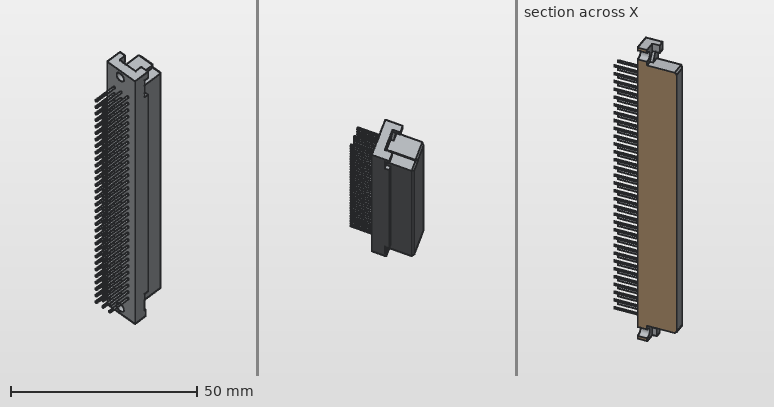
import cadquery as cq
import math


BASE_WIDTH = 10.5
BASE_LENGTH = 94.9
BASE_THICKNESS = 3.7

TOP_BAR_LEVEL = 5.0
BOTTOM_BAR_LEVEL = 4.15
RIB_LEVEL = TOP_BAR_LEVEL
RIB_LENGTH = 76.9

HOLE_DIAMETER = 2.8
HOLE_SPACING = 90.0
HOLE_X = -0.3
SEAT_WIDTH = 6.0
SEAT_LEVEL = 2.8

BLOCK_WIDTH = 8.3
BLOCK_LENGTH = 84.9
BLOCK_FRONT = 11.6
BLOCK_CHAMFER = 0.58
BLOCK_STEP_X = 1.15
BLOCK_STEP_DROP = 1.0

PIN_DIAMETER = 0.6
PIN_LENGTH = 7.0
PIN_PITCH = 2.54
PIN_COLUMNS = 3
PIN_ROWS = 32
PIN_EMBED = 1.0

HALF_WIDTH = BASE_WIDTH / 2
HALF_LENGTH = BASE_LENGTH / 2
HALF_BLOCK_WIDTH = BLOCK_WIDTH / 2
HALF_BLOCK_LENGTH = BLOCK_LENGTH / 2
HALF_SEAT_WIDTH = SEAT_WIDTH / 2
HOLE_Z = HOLE_SPACING / 2


def box(x_range, y_range, z_range):
    """Box between the low and high limits along each axis."""
    size = [high - low for low, high in (x_range, y_range, z_range)]
    corner = (x_range[0], y_range[0], z_range[0])
    return cq.Workplane("XY").box(*size, centered=False).translate(corner)


def extrude_outline(points, y_low, y_high):
    """Prism along Y over an outline of (x, z) points."""
    outline = cq.Workplane("XZ", origin=(0, y_low, 0)).polyline(points).close()
    return outline.extrude(y_low - y_high)


def make_base():
    """Base bar with a raised bar across each end and a rib along each side.

    The end bars start level with the mounting hole centres."""
    across = (-HALF_WIDTH, HALF_WIDTH)
    base = box(across, (0, BASE_THICKNESS), (-HALF_LENGTH, HALF_LENGTH))
    base = base.union(box(across, (0, TOP_BAR_LEVEL), (HOLE_Z, HALF_LENGTH)))
    base = base.union(box(across, (0, BOTTOM_BAR_LEVEL), (-HALF_LENGTH, -HOLE_Z)))
    return base.union(box(across, (0, RIB_LEVEL), (-RIB_LENGTH / 2, RIB_LENGTH / 2)))


def make_nut_seat(end):
    """Slot open to one end (+1 top, -1 bottom), closed by the inner half of a
    hexagon around the hole, whose inner flat is trimmed by the mating block."""
    taper = (HOLE_Z - HALF_BLOCK_LENGTH) * math.tan(math.radians(30))
    floor_half = HALF_SEAT_WIDTH - taper
    points = [
        (HOLE_X - HALF_SEAT_WIDTH, end * HALF_LENGTH),
        (HOLE_X - HALF_SEAT_WIDTH, end * HOLE_Z),
        (HOLE_X - floor_half, end * HALF_BLOCK_LENGTH),
        (HOLE_X + floor_half, end * HALF_BLOCK_LENGTH),
        (HOLE_X + HALF_SEAT_WIDTH, end * HOLE_Z),
        (HOLE_X + HALF_SEAT_WIDTH, end * HALF_LENGTH),
    ]
    return extrude_outline(points, SEAT_LEVEL, TOP_BAR_LEVEL)


def make_mounting_holes():
    """Two through holes along Y, one near each end."""
    plane = cq.Workplane("XZ").pushPoints([(HOLE_X, -HOLE_Z), (HOLE_X, HOLE_Z)])
    return plane.circle(HOLE_DIAMETER / 2).extrude(-TOP_BAR_LEVEL)


def make_block():
    """Mating block, set back on the +X side of its top end, front edge chamfered."""
    step_z = HALF_BLOCK_LENGTH - BLOCK_STEP_DROP
    points = [
        (-HALF_BLOCK_WIDTH, -HALF_BLOCK_LENGTH),
        (HALF_BLOCK_WIDTH, -HALF_BLOCK_LENGTH),
        (HALF_BLOCK_WIDTH, step_z),
        (BLOCK_STEP_X, step_z),
        (BLOCK_STEP_X, HALF_BLOCK_LENGTH),
        (-HALF_BLOCK_WIDTH, HALF_BLOCK_LENGTH),
    ]
    block = extrude_outline(points, SEAT_LEVEL, BLOCK_FRONT)
    return block.faces(">Y").edges().chamfer(BLOCK_CHAMFER)


def make_pins():
    """Grid of round pins, rooted inside the base and pointing to -Y."""
    plane = cq.Workplane("XZ", origin=(0, PIN_EMBED, 0))
    grid = plane.rarray(PIN_PITCH, PIN_PITCH, PIN_COLUMNS, PIN_ROWS)
    return grid.circle(PIN_DIAMETER / 2).extrude(PIN_EMBED + PIN_LENGTH)


body = make_base()
for end in (1, -1):
    body = body.cut(make_nut_seat(end))
body = body.cut(make_mounting_holes())
body = body.union(make_block())
result = body.union(make_pins())